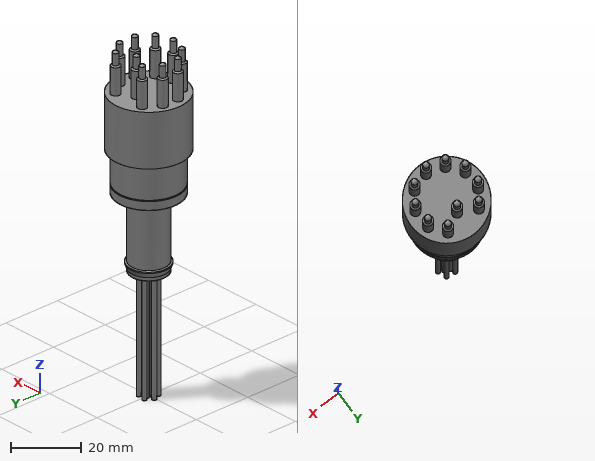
import cadquery as cq
import math

total_height = 111.96
pin_length = 13.9
wire_end_z = pin_length - total_height

head_radius = 25.35 / 2
head_bottom_z = -18.3
shell_radius = 22.15 / 2
shell_bottom_z = -32.7
shell_edge_chamfer = 0.25
seam_top_z = -29.3
seam_width = 0.35
seam_depth = 0.1
stem_radius = 12.7 / 2
stem_bottom_z = -58.0
stem_edge_chamfer = 0.3

collar_radius = 6.95
collar_top_z = -54.45
collar_slope_height = 0.2
collar_band_height = 0.4
collar_bottom_z = -56.7

pin_count = 10
pin_circle_radius = 9.525
key_pin_radius = pin_circle_radius / 2
first_pin_angle = 90
pin_radius = 3.17 / 2
pin_shoulder_z = 9.4
pin_shoulder_height = 0.35
tip_radius = 1.99 / 2
tip_dome_height = 0.6

wire_radius = 1.47 / 2
outer_wire_count = 6
outer_wire_circle_radius = 2.83
outer_wire_angle = 51
inner_wire_count = 4
inner_wire_circle_radius = 1.26
inner_wire_angle = 18

embed = 1.0


def revolve_profile(points):
    """Turn an (r, z) half-profile around the Z axis."""
    return cq.Workplane("XZ").polyline(points).close().revolve(360, (0, 0, 0), (0, 1, 0))


def ring_points(count, radius, start_angle):
    """Equally spaced (x, y) points on a circle, running clockwise."""
    points = []
    for index in range(count):
        angle = math.radians(start_angle - index * 360 / count)
        points.append((radius * math.cos(angle), radius * math.sin(angle)))
    return points


def make_body():
    collar_band_top_z = collar_top_z - collar_slope_height
    seam_radius = shell_radius - seam_depth
    seam_bottom_z = seam_top_z - seam_width
    return revolve_profile([
        (0, 0),
        (head_radius, 0),
        (head_radius, head_bottom_z),
        (shell_radius, head_bottom_z),
        (shell_radius, seam_top_z),
        (seam_radius, seam_top_z),
        (seam_radius, seam_bottom_z),
        (shell_radius, seam_bottom_z),
        (shell_radius, shell_bottom_z + shell_edge_chamfer),
        (shell_radius - shell_edge_chamfer, shell_bottom_z),
        (stem_radius, shell_bottom_z),
        (stem_radius, collar_top_z),
        (collar_radius, collar_band_top_z),
        (collar_radius, collar_band_top_z - collar_band_height),
        (stem_radius, collar_bottom_z),
        (stem_radius, stem_bottom_z + stem_edge_chamfer),
        (stem_radius - stem_edge_chamfer, stem_bottom_z),
        (0, stem_bottom_z),
    ])


def make_pin():
    """Stepped pin on the Z axis with a conical shoulder and a domed tip."""
    dome_base_z = pin_length - tip_dome_height
    dome_sphere_radius = (tip_radius ** 2 + tip_dome_height ** 2) / (2 * tip_dome_height)
    dome_mid_r = tip_radius / 2
    dome_mid_z = pin_length - dome_sphere_radius + math.sqrt(dome_sphere_radius ** 2 - dome_mid_r ** 2)
    profile = (
        cq.Workplane("XZ")
        .moveTo(0, -embed)
        .lineTo(pin_radius, -embed)
        .lineTo(pin_radius, pin_shoulder_z - pin_shoulder_height)
        .lineTo(tip_radius, pin_shoulder_z)
        .lineTo(tip_radius, dome_base_z)
        .threePointArc((dome_mid_r, dome_mid_z), (0, pin_length))
        .close()
    )
    return profile.revolve(360, (0, 0, 0), (0, 1, 0))


def add_pins(body):
    pin = make_pin()
    key_pin_place = ring_points(1, key_pin_radius, first_pin_angle)
    circle_places = ring_points(pin_count, pin_circle_radius, first_pin_angle)[1:]
    for x, y in key_pin_place + circle_places:
        body = body.union(pin.translate((x, y, 0)))
    return body


def add_wires(body):
    wire_top_z = stem_bottom_z + embed
    outer_ring = ring_points(outer_wire_count, outer_wire_circle_radius, outer_wire_angle)
    inner_ring = ring_points(inner_wire_count, inner_wire_circle_radius, inner_wire_angle)
    wires = (
        cq.Workplane("XY")
        .workplane(offset=wire_end_z)
        .pushPoints(outer_ring + inner_ring)
        .circle(wire_radius)
        .extrude(wire_top_z - wire_end_z)
    )
    return body.union(wires)


result = add_wires(add_pins(make_body()))